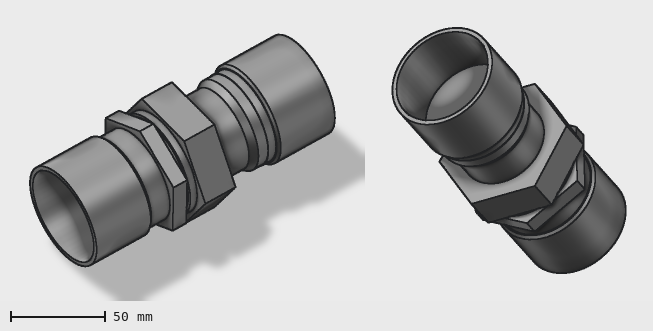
import cadquery as cq

LENGTH = 156.3
BACK_Y = LENGTH / 2
FRONT_Y = -LENGTH / 2

SOCKET_DIAMETER = 59.0
SOCKET_BORE = 54.0
SOCKET_DEPTH = 34.2
SOCKET_LENGTH = 37.0
SOCKET_CHAMFER = 1.5
COLLAR_DIAMETER = 54.5

BAND_START = 42.0
BAND_DIAMETER = 54.0
TAPER_START = 48.3
TAPER_END = 52.5
NECK_DIAMETER = 48.5

NUT_BACK_Y = 7.0
NUT_LENGTH = 19.9
NUT_ACROSS_CORNERS = 75.0
NUT_LIP = 6.3
SEAT_Y = NUT_BACK_Y - NUT_LIP
NUT_FRONT_Y = NUT_BACK_Y - NUT_LENGTH

THREAD_DIAMETER = 60.3
THREAD_EXPOSED_LENGTH = 4.4
UNDERCUT_DIAMETER = 56.6

FLANGE_BACK_Y = -19.5
FLANGE_LENGTH = 8.9
FLANGE_ACROSS_CORNERS = 69.2
FLANGE_TURN = 30 + 1.2


def cylinder(diameter, start_y, end_y):
    """Cylinder on the Y axis between two Y positions."""
    return (
        cq.Workplane("XZ", origin=(0, start_y, 0))
        .circle(diameter / 2)
        .extrude(start_y - end_y)
    )


def hexagon(across_corners, back_y, length):
    """Hexagonal prism on the Y axis, with two corners on the X axis."""
    return (
        cq.Workplane("XZ", origin=(0, back_y, 0))
        .polygon(6, across_corners)
        .extrude(length)
    )


def socket(open_y, inward):
    """Blind pipe socket; inward is the Y direction (+1 or -1) from its mouth."""
    root_y = open_y + inward * SOCKET_LENGTH
    root_face = ">Y" if inward > 0 else "<Y"
    outside = cylinder(SOCKET_DIAMETER, open_y, root_y).faces(root_face).chamfer(SOCKET_CHAMFER)
    return outside.cut(cylinder(SOCKET_BORE, open_y, open_y + inward * SOCKET_DEPTH))


def make_tail_piece():
    """Socket, stepped shank and taper, with a neck that passes into the nut."""
    profile = [
        (0, BACK_Y - SOCKET_DEPTH),
        (COLLAR_DIAMETER / 2, BACK_Y - SOCKET_DEPTH),
        (COLLAR_DIAMETER / 2, BACK_Y - BAND_START),
        (BAND_DIAMETER / 2, BACK_Y - BAND_START),
        (BAND_DIAMETER / 2, BACK_Y - TAPER_START),
        (NECK_DIAMETER / 2, BACK_Y - TAPER_END),
        (NECK_DIAMETER / 2, SEAT_Y),
        (0, SEAT_Y),
    ]
    shank = cq.Workplane("XY").polyline(profile).close().revolve(360, (0, 0, 0), (0, 1, 0))
    return shank.union(socket(BACK_Y, -1))


def make_union_nut():
    """Hexagon nut with a threaded bore and a lip around the neck."""
    nut = hexagon(NUT_ACROSS_CORNERS, NUT_BACK_Y, NUT_LENGTH)
    nut = nut.cut(cylinder(NECK_DIAMETER, NUT_BACK_Y, SEAT_Y))
    return nut.cut(cylinder(THREAD_DIAMETER, SEAT_Y, NUT_FRONT_Y))


def make_hex_tail_piece():
    """Threaded end inside the nut, undercut, fixed hexagon, shank and socket."""
    thread_end_y = NUT_FRONT_Y - THREAD_EXPOSED_LENGTH
    flange_front_y = FLANGE_BACK_Y - FLANGE_LENGTH
    flange = hexagon(FLANGE_ACROSS_CORNERS, FLANGE_BACK_Y, FLANGE_LENGTH)
    flange = flange.rotate((0, 0, 0), (0, 1, 0), FLANGE_TURN)
    piece = cylinder(THREAD_DIAMETER, SEAT_Y, thread_end_y)
    piece = piece.union(cylinder(UNDERCUT_DIAMETER, thread_end_y, FLANGE_BACK_Y)).union(flange)
    piece = piece.union(cylinder(COLLAR_DIAMETER, flange_front_y, FRONT_Y + SOCKET_DEPTH))
    return piece.union(socket(FRONT_Y, 1))


tail_piece = make_tail_piece()
union_nut = make_union_nut()
hex_tail_piece = make_hex_tail_piece()

result = cq.Compound.makeCompound([tail_piece.val(), union_nut.val(), hex_tail_piece.val()])